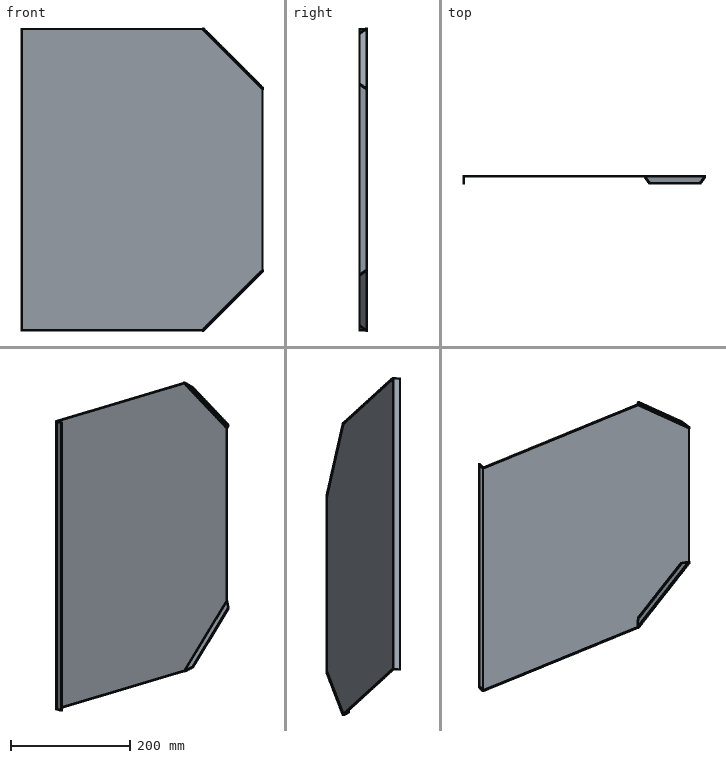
import cadquery as cq
import math

width = 405.0
depth = 12.5
height = 506.5

sheet = 1.25
corner_cut = 101.0

overhang = sheet / math.sqrt(2)
panel_right = width - overhang
panel_top = height / 2 - overhang
cut_length = corner_cut * math.sqrt(2)
flange_taper = depth - sheet


def make_panel():
    """Flat sheet with both right-hand corners cut; its back face is at Y = 0."""
    outline = [
        (0, -panel_top),
        (panel_right - corner_cut, -panel_top),
        (panel_right, -panel_top + corner_cut),
        (panel_right, panel_top - corner_cut),
        (panel_right - corner_cut, panel_top),
        (0, panel_top),
    ]
    return cq.Workplane("XZ").polyline(outline).close().extrude(sheet)


def make_left_flange():
    """Straight flange folded forward along the left edge."""
    return cq.Workplane("XY").box(sheet, depth, 2 * panel_top).translate(
        (sheet / 2, -depth / 2, 0)
    )


def make_upper_corner_flange():
    """Tapered flange folded forward along the upper cut edge."""
    cut_edge = cq.Plane(
        origin=(panel_right - corner_cut, 0, panel_top),
        xDir=(1, 0, -1),
        normal=(1, 0, 1),
    )
    outline = [
        (0, 0),
        (cut_length, 0),
        (cut_length, -sheet),
        (cut_length - flange_taper, -depth),
        (flange_taper, -depth),
        (0, -sheet),
    ]
    return cq.Workplane(cut_edge).polyline(outline).close().extrude(sheet)


upper_flange = make_upper_corner_flange()
lower_flange = upper_flange.mirror("XY")

result = make_panel().union(make_left_flange()).union(upper_flange).union(lower_flange)